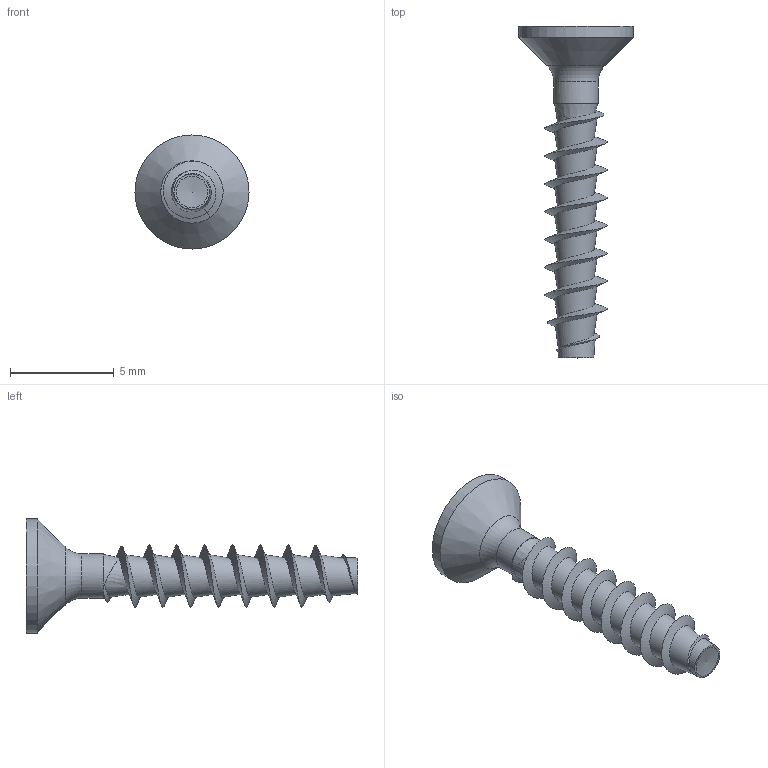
import cadquery as cq
import math

length = 16.0
head_radius = 5.5 / 2
head_rim = 0.54
cone_bottom_depth = 1.89
shank_radius = 1.07
shank_end_depth = 3.73
neck_start_radius = 1.04
neck_length = 0.75
core_radius = 0.88
tip_radius = 0.84
tip_recess_radius = 0.76
tip_recess_depth = 0.08

pitch = 1.34
crest_radius = 1.5
first_crest_depth = 3.25
ridge_head_width = 0.21
ridge_tip_width = 0.18
shoulder_height = 0.15
first_turn = -1.4
turn_count = 11
rail_points_per_turn = 16

start_share = 0.6
growth_start_turn = 0.5
growth_end_turn = 1.15
fade_start_turn = 8.0
fade_end_turn = 9.35
end_share = 0.05

cone_angle = math.radians(45)
cone_bottom_radius = head_radius - (cone_bottom_depth - head_rim) * math.tan(cone_angle)
fillet_radius = (cone_bottom_radius - shank_radius) / (1 - math.cos(cone_angle))
fillet_end_depth = cone_bottom_depth + fillet_radius * math.sin(cone_angle)
fillet_mid_angle = cone_angle / 2
fillet_mid_radius = shank_radius + fillet_radius * (1 - math.cos(fillet_mid_angle))
fillet_mid_depth = fillet_end_depth - fillet_radius * math.sin(fillet_mid_angle)


def make_head_and_shank():
    """Head, shank and the tapered neck below it, revolved about the Y axis."""
    neck_end_depth = shank_end_depth + neck_length
    return (
        cq.Workplane("XY")
        .moveTo(0, 0)
        .lineTo(head_radius, 0)
        .lineTo(head_radius, -head_rim)
        .lineTo(cone_bottom_radius, -cone_bottom_depth)
        .threePointArc((fillet_mid_radius, -fillet_mid_depth), (shank_radius, -fillet_end_depth))
        .lineTo(shank_radius, -shank_end_depth)
        .lineTo(neck_start_radius, -shank_end_depth)
        .lineTo(core_radius, -neck_end_depth)
        .lineTo(0, -neck_end_depth)
        .close()
        .revolve(360, (0, 0, 0), (0, 1, 0))
    )


def blend(turn, start_turn, end_turn, start_value, end_value):
    """Linear change from one value to another between two turns, constant outside them."""
    progress = (turn - start_turn) / (end_turn - start_turn)
    return start_value + (end_value - start_value) * max(0, min(1, progress))


def ridge_share(turn):
    """Share of the full ridge size at a given turn."""
    growth = blend(turn, growth_start_turn, growth_end_turn, start_share, 1)
    fade = blend(turn, fade_start_turn, fade_end_turn, 1, end_share)
    return min(growth, fade)


def on_helix(turn, radius, offset):
    """Point on the right-handed helix, shifted by an offset from the crest towards the tip."""
    angle = 2 * math.pi * turn
    depth = first_crest_depth + pitch * turn + offset
    return cq.Vector(-radius * math.sin(angle), -depth, radius * math.cos(angle))


def core_radius_at(turn):
    """Core radius, which narrows where the ridge fades out."""
    return blend(turn, fade_start_turn, fade_end_turn, core_radius, tip_radius)


def base_point(turn):
    """Head-side foot of the ridge, on the core."""
    return on_helix(turn, core_radius_at(turn), -ridge_head_width * ridge_share(turn))


def crest_point(turn):
    """Sharp outer edge of the ridge."""
    height = (crest_radius - core_radius) * ridge_share(turn)
    return on_helix(turn, core_radius_at(turn) + height, 0)


def shoulder_point(turn):
    """Tip-side foot of the ridge, where the shoulder begins."""
    height = blend(turn, fade_start_turn, fade_end_turn, shoulder_height, 0)
    return on_helix(turn, core_radius_at(turn) + height, ridge_tip_width * ridge_share(turn))


def axis_point(turn):
    """Point on the screw axis level with the head-side foot of the ridge."""
    return cq.Vector(0, base_point(turn).y, 0)


def make_rail(point_at, turn):
    """Smooth curve along one turn of the helix."""
    steps = range(rail_points_per_turn + 1)
    return cq.Edge.makeSpline([point_at(turn + i / rail_points_per_turn) for i in steps])


def make_end_faces(turn):
    """Close the thread at one end: a helical ramp of one turn and the step left between its ends."""
    axis_line = cq.Edge.makeLine(axis_point(turn), axis_point(turn + 1))
    ramp = cq.Face.makeRuledSurface(make_rail(base_point, turn), axis_line)
    step_outline = [
        axis_point(turn),
        base_point(turn),
        crest_point(turn),
        shoulder_point(turn),
        base_point(turn + 1),
        axis_point(turn + 1),
    ]
    step = cq.Face.makeFromWires(cq.Wire.makePolygon(step_outline, close=True))
    return [ramp, step]


def make_threaded_rod():
    """Core and thread as one solid, whose sides are ruled strips between helical rails."""
    faces = []
    for index in range(turn_count):
        turn = first_turn + index
        rails = [
            make_rail(base_point, turn),
            make_rail(crest_point, turn),
            make_rail(shoulder_point, turn),
            make_rail(base_point, turn + 1),
        ]
        faces += [cq.Face.makeRuledSurface(a, b) for a, b in zip(rails, rails[1:])]
    faces += make_end_faces(first_turn)
    faces += make_end_faces(first_turn + turn_count)
    return cq.Workplane(cq.Solid.makeSolid(cq.Shell.makeShell(faces)).fix())


def make_thread_zone():
    """Cylinder from the end of the shank to the tip, which trims the threaded rod."""
    return (
        cq.Workplane("XZ", origin=(0, -shank_end_depth, 0))
        .circle(head_radius)
        .extrude(length - shank_end_depth)
    )


def make_tip_recess():
    """Shallow cone that opens at the tip face."""
    return cq.Workplane(
        cq.Solid.makeCone(
            tip_recess_radius,
            0,
            tip_recess_depth,
            pnt=cq.Vector(0, -length, 0),
            dir=cq.Vector(0, 1, 0),
        )
    )


threaded_rod = make_threaded_rod().intersect(make_thread_zone())
result = make_head_and_shank().union(threaded_rod).cut(make_tip_recess())